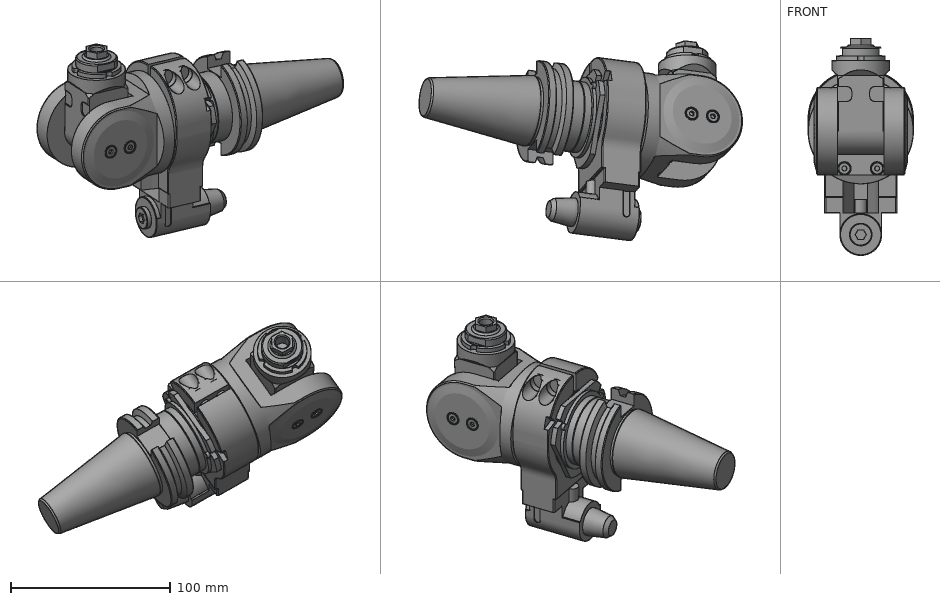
import cadquery as cq
import math


SHANK_END_Y = 173.9
TAPER_LARGE_Y = 105.9
TAPER_LARGE_R = 22.3
TAPER_PER_LENGTH = 7 / 48
SHANK_END_CHAMFER = 1.2
RELIEF_DEPTH = 0.6
RELIEF_Y = 104.6
FLANGE_R = 32.0
FLANGE_BACK_Y = 102.8
FLANGE_FRONT_Y = 86.1
FLANGE_CHAMFER = 0.6
GROOVE_R = 28.2
GROOVE_Y = 94.5
GROOVE_FLOOR_HALF = 1.8
GROOVE_MOUTH_HALF = 3.5
DRIVE_SLOT_W = 16.5
DRIVE_SLOT_FLOOR_Z = 22.5
NECK_R = 22.3
GAP_BACK_Y = 76.0
GAP = 0.6
GAP_FRONT_Y = GAP_BACK_Y - GAP
SPIGOT_R = 16.0
SPIGOT_END_Y = 64.5

COLLAR_R = 25.4
COLLAR_BACK_Y = 71.0
FORK_NECK_R = 28.5
FORK_FLANGE_R = 33.0
FORK_FLANGE_BACK_Y = 37.2
FORK_FLANGE_EDGE_Y = 29.4
FORK_FLANGE_FRONT_Y = 27.5

PLATE_R = 31.8
PLATE_FLAT_DISTANCE = 25.5
PLATE_FRONT_Y = 65.5
PLATE_T = 3.5
PLATE_BACK_Y = PLATE_FRONT_Y + PLATE_T
PLATE_NOTCH = ((-25.4, 19.1), (-22.5, 16.0), (-29.8, 14.0), (-29.8, 19.1))
FLAT_ANGLES = (90, 210, 330)
PLATE_SCREW_ANGLES = (30, 150)
PLATE_SCREW_CIRCLE_R = 26.0
PLATE_SCREW_D = 4.2
PLATE_SCREW_H = COLLAR_BACK_Y - PLATE_BACK_Y

RING_FRONT_Y = 38.5
RING_BACK_Y = 64.5
RING_R = 33.0
RING_TOP_Z = 38.2
RING_FLAT_TOP_Z = 8.0
RING_SHOULDER_R = RING_TOP_Z - RING_FLAT_TOP_Z
RING_LAND_HALF_W = RING_R - RING_SHOULDER_R
RING_CHAMFER = 0.6
ARM_HALF_W = 22.7
ARM_FILLET = 11.3
ARM_STEP_Z = -41.5
ARM_BOTTOM_Z = -51.1
ARM_FRONT_STEP = 0.8
ARM_BACK_STEP = 1.6
FOOT_FRONT_Y = RING_FRONT_Y + ARM_FRONT_STEP
FOOT_BACK_Y = RING_BACK_Y - ARM_BACK_STEP
FOOT_CHAMFER = 0.8
RING_NOTCH_LENGTH = 3.2
RING_NOTCH = ((-29.2, 21.3), (-24.0, 16.0), (-33.0, 13.7), (-33.0, 21.3))

SLIT_W = 3.0
SCREW_YS = (57.0, 45.0)
SCREW_Z = 32.2
CLAMP_SCREW_D = 5.5
COUNTERBORE_D = 10.5
COUNTERBORE_FLOOR_X = 13.3
LEAD_BORE_D = 10.0
LEAD_BORE_FLOOR_X = 9.3

RECESS_HALF_W = 11.3
RECESS_SHOULDER_HALF_W = 9.3
RECESS_SHOULDER_DEPTH = 7.8
RECESS_FLOOR_HALF_W = 4.2
RECESS_FLOOR_Y = 60.4
COLUMN_D = 8.5
COLUMN_BACK_Y = 66.8
COLUMN_TOP_Z = -42.9

BLOCK_R = 13.0
BLOCK_Z = -64.8
BLOCK_FRONT_Y = 36.0
BLOCK_BACK_Y = 75.5
BLOCK_CHAMFER = 0.5
REAR_CHEEK_TOP_Z = -59.4
FRONT_CHEEK_TOP_Z = -61.2
SIDE_GROOVE_W = 4.5
SIDE_GROOVE_DEPTH = 1.0
SIDE_GROOVE_Y = 44.7
SIDE_GROOVE_BOTTOM_Z = -68.5
PIN_BASE_R = 9.0
PIN_TIP_R = 7.2
PIN_END_R = 5.2
PIN_CYLINDER_Y = 77.0
PIN_TIP_Y = 89.2
PIN_END_Y = 92.0
BOSS_R = 7.0
BOSS_FRONT_Y = 32.8
BOSS_CHAMFER = 0.5
BOSS_SOCKET_AF = 6.0
BOSS_SOCKET_DEPTH = 2.5
BOSS_SOCKET_TURN = 30

CHEEK_R = 27.4
FORK_HALF_W = 27.8
FORK_CHAMFER = 0.8
FORK_CONE_SLOPE = 0.28
FORK_SLOT_HALF_W = 14.7
FORK_SLOT_END_Y = 17.7
CAP_R = 25.2
CAP_FACE_R = 19.5
CAP_H = 1.5
CAP_SCREW_YS = (7.0, -7.0)
WEB_SCREW_X = 10.3
WEB_SCREW_Z = -23.3
SCREW_RECESS_D = 8.5
SCREW_HEAD_D = 7.0
SCREW_RECESS_DEPTH = 0.8
SOCKET_D = 3.0
SOCKET_DEPTH = 1.6

HEAD_HALF_W = 14.7
HEAD_TOP_Z = 35.0
HEAD_EDGE_CHAMFER = 0.6
COLLAR_CUP_R = 18.1
COLLAR_CUP_TOP_Z = 44.3
WINDOW_INNER_X = 5.6
WINDOW_BOTTOM_Z = 18.7
WINDOW_TOP_Z = 28.0
WINDOW_CORNER_R = 3.0
WINDOW_DEPTH = 0.8
NUT_RING_R = 15.5
NUT_RING_TOP_Z = 47.0
NUT_NOTCH_D = 4.2
NUT_R = 13.0
NUT_TOP_Z = 52.7
NUT_CHAMFER = 0.8
NUT_FLAT_HALF_W = 11.5
NUT_FLAT_BOTTOM_Z = 47.5
NUT_FLAT_TOP_Z = 52.3
COLLET_R = 9.0
COLLET_FACE_R = 7.6
COLLET_TOP_Z = 54.0
HEX_AF = 13.0
HEX_TOP_Z = 58.2
BORE_D = 8.5
BORE_MOUTH_D = 10.0
BORE_DEPTH = 10.0


def revolved_y(points):
    """Solid of revolution about Y from (radius, y) points."""
    return cq.Workplane("XY").polyline(points).close().revolve(360, (0, 0), (0, 1))


def block(x0, x1, y0, y1, z0, z1):
    """Box between two corners."""
    return cq.Workplane("XY").box(x1 - x0, y1 - y0, z1 - z0, centered=False).translate((x0, y0, z0))


def rod(start, direction, diameter, length):
    """Round bar from a start point along a direction."""
    bar = cq.Solid.makeCylinder(diameter / 2, length, cq.Vector(*start), cq.Vector(*direction))
    return cq.Workplane(bar)


def along_y(points, y0, y1):
    """Prism from an (x, z) outline between two Y places."""
    return cq.Workplane("XZ", origin=(0, y1, 0)).polyline(points).close().extrude(y1 - y0)


def angle_of(point):
    """Direction of a point as seen from the origin."""
    return math.atan2(point[1], point[0])


def polar(center, radius, angle):
    """Point at a radius and angle about a centre."""
    return (center[0] + radius * math.cos(angle), center[1] + radius * math.sin(angle))


def mirrored(point):
    """The point on the other side of X = 0."""
    return (-point[0], point[1])


def both_sides(solid):
    """The solid together with its mirror image across X = 0."""
    return solid.union(solid.mirror("YZ"))


def make_spindle():
    small_r = TAPER_LARGE_R - (SHANK_END_Y - TAPER_LARGE_Y) * TAPER_PER_LENGTH
    chamfer_y = SHANK_END_Y - SHANK_END_CHAMFER
    relief_r = TAPER_LARGE_R - RELIEF_DEPTH
    rim_r = FLANGE_R - FLANGE_CHAMFER
    body = revolved_y([
        (0, SHANK_END_Y),
        (small_r - SHANK_END_CHAMFER / 2, SHANK_END_Y),
        (small_r + SHANK_END_CHAMFER * TAPER_PER_LENGTH, chamfer_y),
        (TAPER_LARGE_R, TAPER_LARGE_Y),
        (TAPER_LARGE_R, RELIEF_Y),
        (relief_r, RELIEF_Y),
        (relief_r, FLANGE_BACK_Y),
        (rim_r, FLANGE_BACK_Y),
        (FLANGE_R, FLANGE_BACK_Y - FLANGE_CHAMFER),
        (FLANGE_R, GROOVE_Y + GROOVE_MOUTH_HALF),
        (GROOVE_R, GROOVE_Y + GROOVE_FLOOR_HALF),
        (GROOVE_R, GROOVE_Y - GROOVE_FLOOR_HALF),
        (FLANGE_R, GROOVE_Y - GROOVE_MOUTH_HALF),
        (FLANGE_R, FLANGE_FRONT_Y + FLANGE_CHAMFER),
        (rim_r, FLANGE_FRONT_Y),
        (NECK_R, FLANGE_FRONT_Y),
        (NECK_R, GAP_BACK_Y),
        (SPIGOT_R, GAP_BACK_Y),
        (SPIGOT_R, SPIGOT_END_Y),
        (0, SPIGOT_END_Y),
    ])
    half_w = DRIVE_SLOT_W / 2
    slot = block(-half_w, half_w, FLANGE_FRONT_Y, FLANGE_BACK_Y, DRIVE_SLOT_FLOOR_Z, FLANGE_R)
    return body.cut(slot).cut(slot.mirror("XY"))


def make_core():
    core = revolved_y([
        (0, GAP_FRONT_Y),
        (NECK_R, GAP_FRONT_Y),
        (NECK_R, COLLAR_BACK_Y),
        (COLLAR_R, COLLAR_BACK_Y),
        (COLLAR_R, RING_FRONT_Y),
        (FORK_NECK_R, RING_FRONT_Y),
        (FORK_NECK_R, FORK_FLANGE_BACK_Y),
        (FORK_FLANGE_R, FORK_FLANGE_BACK_Y),
        (FORK_FLANGE_R, FORK_FLANGE_FRONT_Y),
        (0, FORK_FLANGE_FRONT_Y),
    ])

    flange_w = 2 * FORK_FLANGE_R
    slopes = (
        cq.Workplane("XZ", origin=(0, FORK_FLANGE_EDGE_Y, 0)).rect(flange_w, flange_w)
        .workplane(offset=FORK_FLANGE_EDGE_Y - FORK_FLANGE_FRONT_Y).rect(2 * FORK_HALF_W, 2 * CHEEK_R).loft()
    )
    outer_r = FORK_FLANGE_R
    straight = block(-outer_r, outer_r, FORK_FLANGE_EDGE_Y, GAP_FRONT_Y, -outer_r, outer_r)
    return core.intersect(slopes.union(straight))


def make_plate():
    plate = rod((0, PLATE_FRONT_Y, 0), (0, 1, 0), 2 * PLATE_R, PLATE_T)
    flat = block(-PLATE_R, PLATE_R, PLATE_FRONT_Y, PLATE_BACK_Y, PLATE_FLAT_DISTANCE, PLATE_R)
    for angle in FLAT_ANGLES:
        plate = plate.cut(flat.rotate((0, 0, 0), (0, 1, 0), FLAT_ANGLES[0] - angle))
    notch = along_y(PLATE_NOTCH, PLATE_FRONT_Y, PLATE_BACK_Y)
    plate = plate.cut(both_sides(notch))
    for angle in PLATE_SCREW_ANGLES:
        x, z = polar((0, 0), PLATE_SCREW_CIRCLE_R, math.radians(angle))
        plate = plate.union(rod((x, PLATE_BACK_Y, z), (0, 1, 0), PLATE_SCREW_D, PLATE_SCREW_H))
    return plate


def make_ring():
    shoulder_mid = polar((RING_LAND_HALF_W, RING_FLAT_TOP_Z), RING_SHOULDER_R, math.pi / 4)

    fillet_x = ARM_HALF_W + ARM_FILLET
    fillet_center = (fillet_x, -math.sqrt((RING_R + ARM_FILLET) ** 2 - fillet_x ** 2))
    fillet_angle = angle_of(fillet_center)
    lower_mid = polar((0, 0), RING_R, fillet_angle / 2)
    fillet_joint = polar((0, 0), RING_R, fillet_angle)
    fillet_mid = polar(fillet_center, ARM_FILLET, math.pi + fillet_angle / 2)
    arm_joint = (ARM_HALF_W, fillet_center[1])

    ring = (
        cq.Workplane("XZ", origin=(0, RING_BACK_Y, 0))
        .moveTo(-RING_LAND_HALF_W, RING_TOP_Z)
        .lineTo(RING_LAND_HALF_W, RING_TOP_Z)
        .threePointArc(shoulder_mid, (RING_R, RING_FLAT_TOP_Z))
        .lineTo(RING_R, 0)
        .threePointArc(lower_mid, fillet_joint)
        .threePointArc(fillet_mid, arm_joint)
        .lineTo(ARM_HALF_W, ARM_STEP_Z)
        .lineTo(-ARM_HALF_W, ARM_STEP_Z)
        .lineTo(*mirrored(arm_joint))
        .threePointArc(mirrored(fillet_mid), mirrored(fillet_joint))
        .threePointArc(mirrored(lower_mid), (-RING_R, 0))
        .lineTo(-RING_R, RING_FLAT_TOP_Z)
        .threePointArc(mirrored(shoulder_mid), (-RING_LAND_HALF_W, RING_TOP_Z))
        .close()
        .extrude(RING_BACK_Y - RING_FRONT_Y)
        .faces("<Y or >Y").chamfer(RING_CHAMFER)
    )
    foot = (
        block(-ARM_HALF_W, ARM_HALF_W, FOOT_FRONT_Y, FOOT_BACK_Y, ARM_BOTTOM_Z, ARM_STEP_Z + RING_CHAMFER)
        .edges("|Z").chamfer(FOOT_CHAMFER)
    )
    notch = along_y(RING_NOTCH, RING_BACK_Y - RING_NOTCH_LENGTH, RING_BACK_Y)
    return ring.union(foot).cut(both_sides(notch))


def cut_clamp(ring):
    """Slit the ring at the top and sink its two clamping screws."""
    half = SLIT_W / 2
    slit = block(-half, half, RING_FRONT_Y, RING_BACK_Y, COLLAR_R, RING_TOP_Z)
    ring = ring.cut(slit)
    for y in SCREW_YS:
        ring = ring.cut(rod((COUNTERBORE_FLOOR_X, y, SCREW_Z), (1, 0, 0), COUNTERBORE_D, RING_R))
        ring = ring.cut(rod((LEAD_BORE_FLOOR_X, y, SCREW_Z), (1, 0, 0), LEAD_BORE_D, RING_R))
        ring = ring.union(rod((-half, y, SCREW_Z), (1, 0, 0), CLAMP_SCREW_D, SLIT_W))
    return ring


def cut_recess(ring):
    """Tapered recess in the front of the arm, with a round column through its floor."""
    shoulder_y = RING_FRONT_Y + RECESS_SHOULDER_DEPTH
    depth = -COLLAR_R - ARM_BOTTOM_Z
    recess = (
        cq.Workplane("XY", origin=(0, 0, ARM_BOTTOM_Z))
        .polyline([
            (-RECESS_HALF_W, RING_FRONT_Y), (-RECESS_SHOULDER_HALF_W, shoulder_y),
            (-RECESS_FLOOR_HALF_W, RECESS_FLOOR_Y), (RECESS_FLOOR_HALF_W, RECESS_FLOOR_Y),
            (RECESS_SHOULDER_HALF_W, shoulder_y), (RECESS_HALF_W, RING_FRONT_Y),
        ])
        .close().extrude(depth)
    )
    column_y = COLUMN_BACK_Y - COLUMN_D / 2
    column = rod((0, column_y, BLOCK_Z), (0, 0, 1), COLUMN_D, COLUMN_TOP_Z - BLOCK_Z)
    return ring.cut(recess).union(column)


def make_stop_block():
    barrel = revolved_y([
        (0, BOSS_FRONT_Y),
        (BOSS_R - BOSS_CHAMFER, BOSS_FRONT_Y),
        (BOSS_R, BOSS_FRONT_Y + BOSS_CHAMFER),
        (BOSS_R, BLOCK_FRONT_Y),
        (BLOCK_R - BLOCK_CHAMFER, BLOCK_FRONT_Y),
        (BLOCK_R, BLOCK_FRONT_Y + BLOCK_CHAMFER),
        (BLOCK_R, BLOCK_BACK_Y),
        (PIN_BASE_R, BLOCK_BACK_Y),
        (PIN_BASE_R, PIN_CYLINDER_Y),
        (PIN_TIP_R, PIN_TIP_Y),
        (PIN_END_R, PIN_END_Y),
        (0, PIN_END_Y),
    ]).translate((0, 0, BLOCK_Z))
    web = block(-BLOCK_R, BLOCK_R, FOOT_FRONT_Y, FOOT_BACK_Y, BLOCK_Z, ARM_BOTTOM_Z)
    rear = block(-BLOCK_R, BLOCK_R, FOOT_BACK_Y, BLOCK_BACK_Y, BLOCK_Z, REAR_CHEEK_TOP_Z)
    front_y = BLOCK_FRONT_Y + BLOCK_CHAMFER
    front = block(-BLOCK_R, BLOCK_R, front_y, FOOT_FRONT_Y, BLOCK_Z, FRONT_CHEEK_TOP_Z)
    body = barrel.union(web).union(rear).union(front)

    groove_r = SIDE_GROOVE_W / 2
    groove_end_z = SIDE_GROOVE_BOTTOM_Z + groove_r
    floor_x = BLOCK_R - SIDE_GROOVE_DEPTH
    groove = block(
        floor_x, BLOCK_R, SIDE_GROOVE_Y - groove_r, SIDE_GROOVE_Y + groove_r, groove_end_z, ARM_BOTTOM_Z,
    ).union(rod((floor_x, SIDE_GROOVE_Y, groove_end_z), (1, 0, 0), SIDE_GROOVE_W, SIDE_GROOVE_DEPTH))
    body = body.cut(both_sides(groove))

    socket = (
        cq.Workplane("XZ", origin=(0, BOSS_FRONT_Y + BOSS_SOCKET_DEPTH, BLOCK_Z))
        .polygon(6, BOSS_SOCKET_AF, circumscribed=True).extrude(BOSS_SOCKET_DEPTH)
        .rotate((0, 0, BLOCK_Z), (0, 1, BLOCK_Z), BOSS_SOCKET_TURN)
    )
    return body.cut(socket)


def cut_screw(body, face_point, inward):
    """Sunk socket screw: a ring-shaped gap around the head and a round socket in it."""
    gap = rod(face_point, inward, SCREW_RECESS_D, SCREW_RECESS_DEPTH)
    gap = gap.cut(rod(face_point, inward, SCREW_HEAD_D, SCREW_RECESS_DEPTH))
    return body.cut(gap).cut(rod(face_point, inward, SOCKET_D, SOCKET_DEPTH))


def make_fork():
    fork = (
        cq.Workplane("YZ", origin=(-FORK_HALF_W, 0, 0))
        .moveTo(FORK_FLANGE_FRONT_Y, CHEEK_R).lineTo(0, CHEEK_R)
        .threePointArc((-CHEEK_R, 0), (0, -CHEEK_R))
        .lineTo(FORK_FLANGE_FRONT_Y, -CHEEK_R).close()
        .extrude(2 * FORK_HALF_W)
        .faces("<X or >X").edges("not(>Y)").chamfer(FORK_CHAMFER)
    )
    cone_far_r = FORK_FLANGE_R + FORK_CONE_SLOPE * (FORK_FLANGE_FRONT_Y + CHEEK_R)
    cone = revolved_y([
        (0, FORK_FLANGE_FRONT_Y), (FORK_FLANGE_R, FORK_FLANGE_FRONT_Y),
        (cone_far_r, -CHEEK_R), (0, -CHEEK_R),
    ])
    fork = fork.intersect(cone)
    cap = cq.Workplane(cq.Solid.makeCone(
        CAP_R, CAP_FACE_R, CAP_H, cq.Vector(FORK_HALF_W, 0, 0), cq.Vector(1, 0, 0),
    ))
    fork = fork.union(both_sides(cap))
    upper = block(-FORK_SLOT_HALF_W, FORK_SLOT_HALF_W, -CHEEK_R, FORK_SLOT_END_Y, 0, CHEEK_R)
    lower = block(-FORK_SLOT_HALF_W, FORK_SLOT_HALF_W, -CHEEK_R, HEAD_HALF_W, -CHEEK_R, 0)
    fork = fork.cut(upper).cut(lower)
    for side in (-1, 1):
        for y in CAP_SCREW_YS:
            fork = cut_screw(fork, (side * (FORK_HALF_W + CAP_H), y, 0), (-side, 0, 0))
        fork = cut_screw(fork, (side * WEB_SCREW_X, HEAD_HALF_W, WEB_SCREW_Z), (0, 1, 0))
    return fork


def make_head():
    half = HEAD_HALF_W
    post = block(-half, half, -half, half, 0, HEAD_TOP_Z).edges("|Z").chamfer(HEAD_EDGE_CHAMFER)
    cone_base_r = COLLAR_CUP_R + HEAD_TOP_Z
    post = post.intersect(cq.Workplane(cq.Solid.makeCone(cone_base_r, COLLAR_CUP_R, HEAD_TOP_Z)))
    knuckle = rod((-half, 0, 0), (1, 0, 0), 2 * half, 2 * half)

    flare = COLLAR_CUP_R - half
    flare_top_z = HEAD_TOP_Z + flare
    cup = rod((0, 0, HEAD_TOP_Z), (0, 0, 1), 2 * COLLAR_CUP_R, COLLAR_CUP_TOP_Z - HEAD_TOP_Z)
    funnel = (
        cq.Workplane("XY", origin=(0, 0, HEAD_TOP_Z)).rect(2 * half, 2 * half)
        .workplane(offset=flare).rect(2 * COLLAR_CUP_R, 2 * COLLAR_CUP_R).loft()
    )
    cup_r = COLLAR_CUP_R
    sleeve = block(-cup_r, cup_r, -cup_r, cup_r, flare_top_z, COLLAR_CUP_TOP_Z)
    cup = cup.intersect(funnel.union(sleeve))

    window = (
        block(-half, -WINDOW_INNER_X, -half, WINDOW_DEPTH - half, WINDOW_BOTTOM_Z, WINDOW_TOP_Z)
        .edges("|Y and >X").fillet(WINDOW_CORNER_R)
    )
    return post.union(knuckle).union(cup).cut(both_sides(window))


def make_nut():
    nut = (
        cq.Workplane("XZ")
        .polyline([
            (0, COLLAR_CUP_TOP_Z),
            (NUT_RING_R, COLLAR_CUP_TOP_Z),
            (NUT_RING_R, NUT_RING_TOP_Z),
            (NUT_R, NUT_RING_TOP_Z),
            (NUT_R, NUT_TOP_Z - NUT_CHAMFER),
            (NUT_R - NUT_CHAMFER, NUT_TOP_Z),
            (COLLET_R, NUT_TOP_Z),
            (COLLET_FACE_R, COLLET_TOP_Z),
            (0, COLLET_TOP_Z),
        ])
        .close().revolve(360, (0, 0), (0, 1))
    )
    for x, y in ((1, 0), (0, 1), (-1, 0), (0, -1)):
        start = (x * NUT_RING_R, y * NUT_RING_R, COLLAR_CUP_TOP_Z)
        nut = nut.cut(rod(start, (0, 0, 1), NUT_NOTCH_D, NUT_RING_TOP_Z - COLLAR_CUP_TOP_Z))
    flat = block(NUT_FLAT_HALF_W, NUT_R, -NUT_R, NUT_R, NUT_FLAT_BOTTOM_Z, NUT_FLAT_TOP_Z)
    nut = nut.cut(both_sides(flat))
    hexagon = (
        cq.Workplane("XY", origin=(0, 0, COLLET_TOP_Z))
        .polygon(6, HEX_AF, circumscribed=True).extrude(HEX_TOP_Z - COLLET_TOP_Z)
    )
    mouth_depth = (BORE_MOUTH_D - BORE_D) / 2
    mouth = cq.Workplane(cq.Solid.makeCone(
        BORE_D / 2, BORE_MOUTH_D / 2, mouth_depth, cq.Vector(0, 0, HEX_TOP_Z - mouth_depth),
    ))
    bore = rod((0, 0, HEX_TOP_Z - BORE_DEPTH), (0, 0, 1), BORE_D, BORE_DEPTH)
    return nut.union(hexagon).cut(bore).cut(mouth)


def make_housing():
    ring = cut_recess(cut_clamp(make_ring()))
    parts = (make_plate(), ring, make_stop_block(), make_fork(), make_head(), make_nut())
    housing = make_core()
    for part in parts:
        housing = housing.union(part)
    bore = rod((0, SPIGOT_END_Y, 0), (0, 1, 0), 2 * SPIGOT_R, GAP_FRONT_Y - SPIGOT_END_Y)
    return housing.cut(bore)


spindle = make_spindle()
housing = make_housing()
result = cq.Compound.makeCompound([spindle.val(), *housing.vals()])